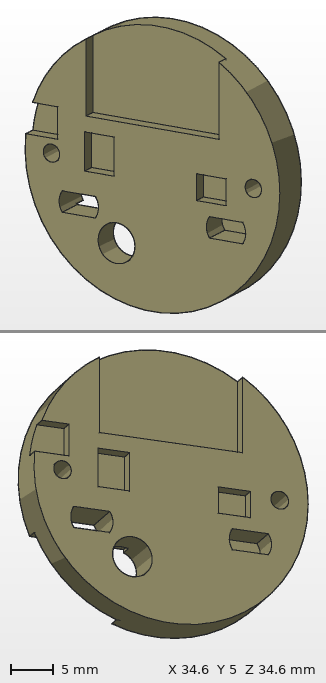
import cadquery as cq

disc_radius = 17.3
thickness = 5.0

pocket_depth = 1.63
window_half_width = 9.03
window_bottom = 5.3
edge_pocket = (-disc_radius, -12.85, 1.85, 5.8)
tall_pocket = (-9.2, -5.22, -1.5, 3.32)
short_pocket = (5.98, 10.0, -2.7, 0.6)

screw_hole_radius = 1.1
screw_hole_offset = 13.7
cable_hole_radius = 2.5
cable_hole_x = -4.88
cable_hole_z = -9.65

slot_offset = 10.0
slot_z = -5.7
slot_height = 2.63
slot_flat_length = 4.5
slot_full_length = 5.33

back_recess_depth = 1.45
back_recess_floor = thickness - back_recess_depth
upper_recess = (-disc_radius, -4.0, cable_hole_z, -6.9)
lower_recess = (-disc_radius, -3.1, -16.4, cable_hole_z)

blind_slot_depth = back_recess_floor


def box_cut(left, right, bottom, top, y_start, depth):
    """Block spanning the given X and Z limits, reaching back from y_start."""
    block = cq.Workplane("XY").box(right - left, depth, top - bottom, centered=False)
    return block.translate((left, y_start, bottom))


def round_hole(x, z, radius):
    """Cylinder through the full thickness."""
    return cq.Workplane("XZ").center(x, z).circle(radius).extrude(-thickness)


def slot(x, depth):
    """Slot cut from the front face, with flat sides and bowed ends."""
    half_flat = slot_flat_length / 2
    half_full = slot_full_length / 2
    half_height = slot_height / 2
    return (
        cq.Workplane("XZ")
        .center(x, slot_z)
        .moveTo(-half_flat, -half_height)
        .lineTo(half_flat, -half_height)
        .threePointArc((half_full, 0), (half_flat, half_height))
        .lineTo(-half_flat, half_height)
        .threePointArc((-half_full, 0), (-half_flat, -half_height))
        .close()
        .extrude(-depth)
    )


result = cq.Workplane("XZ").circle(disc_radius).extrude(-thickness)

window = (-window_half_width, window_half_width, window_bottom, disc_radius)
for limits in (window, edge_pocket, tall_pocket, short_pocket):
    result = result.cut(box_cut(*limits, 0, pocket_depth))

for side in (-1, 1):
    result = result.cut(round_hole(side * screw_hole_offset, 0, screw_hole_radius))
result = result.cut(round_hole(cable_hole_x, cable_hole_z, cable_hole_radius))

result = result.cut(slot(-slot_offset, thickness))
result = result.cut(slot(slot_offset, blind_slot_depth))

for limits in (upper_recess, lower_recess):
    result = result.cut(box_cut(*limits, back_recess_floor, back_recess_depth))